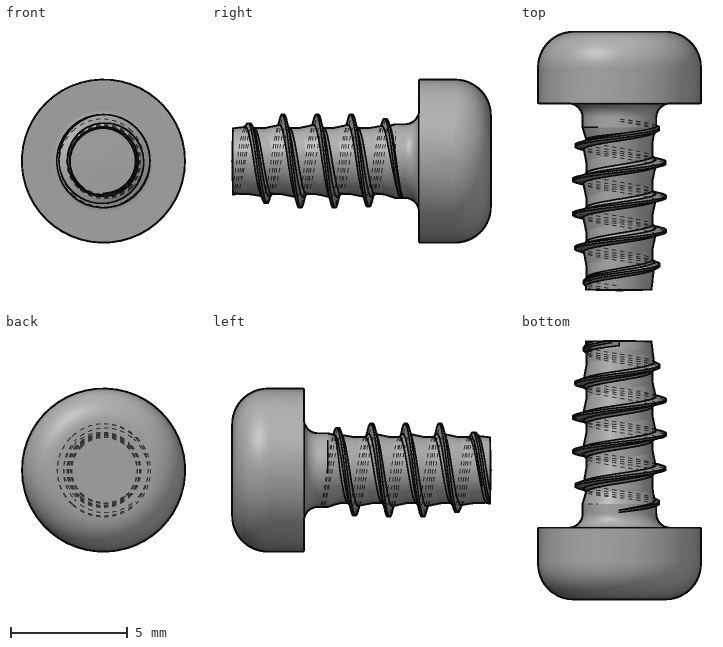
import cadquery as cq
import math

total_length = 11.09
head_diameter = 7.0
head_height = 3.08
head_round = 1.54
head_edge_round = 0.07

neck_radius = 1.59
neck_fillet = 0.59
neck_end = 6.99
neck_taper_length = 0.53

core_radius = 1.42
tip_radius = 1.38
tip_taper_length = 0.33
tip_face_radius = 1.3
tip_rise = 0.03

pitch = 1.46
crest_position = 5.11
crest_radius = 2.0
crest_width = 0.09
root_radius = 1.55
head_side_root = 0.13
tip_side_root = 0.15
head_side_foot = 0.33
tip_side_foot = 1.05
foot_radius = 1.36
start_turn = -3.5
fade_out_turn = -2.0
fade_in_turn = 0.0
end_turn = 1.5
fade_out_slope = 0.37
end_crest_radius = neck_radius
piece_length = 0.5
samples_per_piece = 12

head_radius = head_diameter / 2
head_base = total_length - head_height


def make_body():
    """Revolve the head, neck, core and tip about the Y axis."""
    diagonal = math.sqrt(0.5)
    round_center = (head_radius - head_round, total_length - head_round)
    fillet_center = (neck_radius + neck_fillet, head_base - neck_fillet)
    edge_center = (head_radius - head_edge_round, head_base + head_edge_round)
    return (
        cq.Workplane("XY")
        .lineTo(tip_face_radius, tip_rise)
        .lineTo(tip_radius, tip_rise)
        .lineTo(core_radius, tip_rise + tip_taper_length)
        .lineTo(core_radius, neck_end - neck_taper_length)
        .lineTo(neck_radius, neck_end)
        .lineTo(neck_radius, fillet_center[1])
        .threePointArc(
            (fillet_center[0] - neck_fillet * diagonal, fillet_center[1] + neck_fillet * diagonal),
            (fillet_center[0], head_base),
        )
        .lineTo(edge_center[0], head_base)
        .threePointArc(
            (edge_center[0] + head_edge_round * diagonal, edge_center[1] - head_edge_round * diagonal),
            (head_radius, edge_center[1]),
        )
        .lineTo(head_radius, round_center[1])
        .threePointArc(
            (round_center[0] + head_round * diagonal, round_center[1] + head_round * diagonal),
            (round_center[0], total_length),
        )
        .lineTo(0, total_length)
        .close()
        .revolve(360, (0, 0, 0), (0, 1, 0))
    )


def crest_radius_at(turn):
    """Crest radius, full in the middle and fading at both ends."""
    if turn > fade_in_turn:
        fraction = (turn - fade_in_turn) / (end_turn - fade_in_turn)
        return crest_radius - (crest_radius - end_crest_radius) * fraction**2
    return crest_radius - fade_out_slope * max(0, fade_out_turn - turn)


def ridge_section(turn):
    """Axial offset and radius of each corner of the ridge section."""
    crest = crest_radius_at(turn)
    strength = (crest - core_radius) / (crest_radius - core_radius)
    root = core_radius + (root_radius - core_radius) * strength
    return [
        (head_side_foot, foot_radius),
        (head_side_root, root),
        (crest_width / 2, crest),
        (-crest_width / 2, crest),
        (-tip_side_root, root),
        (-tip_side_foot, foot_radius),
    ]


def helix_point(turn, offset, radius):
    angle = 2 * math.pi * turn
    along = crest_position + pitch * turn + offset
    return cq.Vector(radius * math.sin(angle), along, radius * math.cos(angle))


def make_thread_piece(first_turn):
    """Join helical rails through the section corners with ruled faces."""
    turn_step = piece_length / samples_per_piece
    turns = [first_turn + turn_step * i for i in range(samples_per_piece + 1)]
    sections = [[helix_point(turn, *corner) for corner in ridge_section(turn)] for turn in turns]
    rails = [cq.Edge.makeSpline(list(points)) for points in zip(*sections)]
    faces = [cq.Face.makeRuledSurface(rails[i - 1], rails[i]) for i in range(len(rails))]
    for section in (sections[0], sections[-1]):
        end_wire = cq.Wire.makePolygon(section, close=True)
        faces.append(cq.Face.makeFromWires(end_wire))
    piece = cq.Solid.makeSolid(cq.Shell.makeShell(faces))
    return cq.Workplane("XY").add(piece.fix())


def make_thread_limit():
    """Cylinder that trims the thread flush with the tip rim."""
    return (
        cq.Workplane("XZ", origin=(0, tip_rise, 0))
        .circle(head_radius)
        .extrude(-(head_base - tip_rise))
    )


def add_thread(body):
    """Fuse the thread to the body piece by piece, starting at the tip."""
    limit = make_thread_limit()
    piece_count = round((end_turn - start_turn) / piece_length)
    for i in range(piece_count):
        piece = make_thread_piece(start_turn + piece_length * i)
        body = body.union(piece.intersect(limit))
    return body


result = add_thread(make_body())